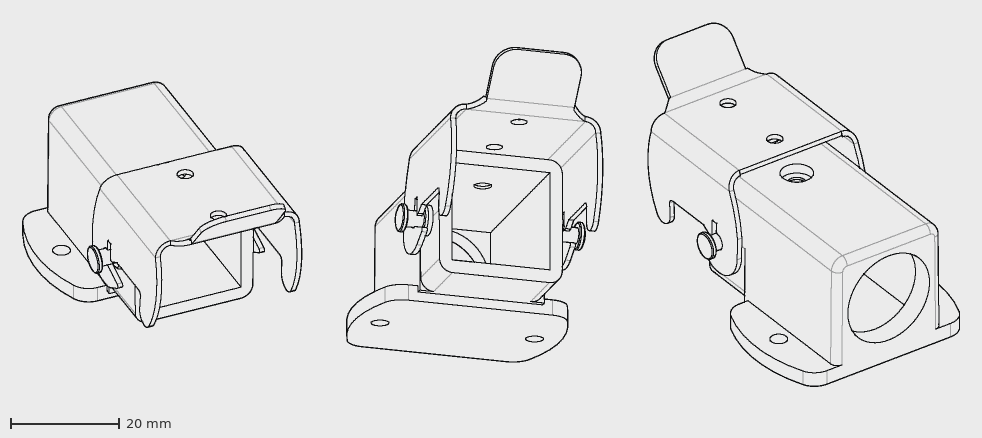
import cadquery as cq
import math


base_length = 28.0
base_width = 40.0
base_thickness = 3.0
base_end_radius = 30.0
base_corner_radius = 4.0
mount_hole_offset = 15.0
screw_hole_diameter = 3.3

block_length = 29.1
housing_length = 40.5
housing_bottom = 1.8
housing_top = 25.8
mid_height = (housing_bottom + housing_top) / 2
half_width = 12.0
housing_draft = math.tan(math.radians(0.5))
long_edge_radius = 2.5
front_edge_radius = 1.5

wall = 2.5
front_wall = 4.5
entry_diameter = 18.5
counterbore_x = 29.45
counterbore_diameter = 6.2
counterbore_depth = 2.0

pivot_x = 34.0
pin_root_y = half_width - wall / 2
collar_radius = 2.85
collar_end_y = 13.3
collar_edge = 0.4
shaft_radius = 1.55
head_radius = 2.6
head_start_y = 16.7
head_dome_y = 17.65
head_end_y = 18.2
head_edge = 0.2

sheet = 1.0
lever_top = 29.6
lever_bottom = 7.45
lever_front = 31.5
lever_back = 55.53
lever_half_width = 14.54
lever_outer_radius = 3.0
lever_draft = math.tan(math.radians(1.0))
flat_half_width = lever_half_width - lever_outer_radius
front_edge_middle = (29.0, 23.4)
front_edge_bend_x = 30.4
front_edge_bottom_z = 17.6
bend_bottom = lever_top - lever_outer_radius
lever_hole_diameter = 3.0
lever_hole_xs = (36.5, 51.5)

lobe_radius = 5.77
lobe_x = 33.35
lobe_left = lobe_x - lobe_radius
lobe_z = lever_bottom + lobe_radius
lobe_exit_angle = math.radians(28)
lip_tip = (39.9, 10.3)
lip_inner = (33.6, 12.5)
lip_tip_radius = 0.5
mouth_corner = (36.6, 14.1)
mouth_angle = math.radians(30)
notch_top = 15.2
notch_right = 49.25
notch_corner_radius = 0.9
hook_radius = 2.3
hook_x = 51.3
hook_z = 11.3
hook_exit_angle = math.radians(31)
hook_back_middle = (56.37, 19.6)
pin_hole_radius = 1.65
relief_slot_left = 34.35
relief_slot_width = 1.35
relief_slot_top = 17.6

tab_angle_degrees = 50
tab_angle = math.radians(tab_angle_degrees)
tab_bend_radius = 3.0
tab_tip_z = 38.51
tab_width = 17.0
tab_corner_radius = 4.0


def base_plate():
    """Mounting flange with bowed ends, rounded corners and two screw holes."""
    middle_x = base_length / 2
    half_base = base_width / 2
    sagitta = base_end_radius - math.sqrt(base_end_radius**2 - middle_x**2)
    side_y = half_base - sagitta
    plate = (
        cq.Workplane("XY")
        .moveTo(0, -side_y)
        .threePointArc((middle_x, -half_base), (base_length, -side_y))
        .lineTo(base_length, side_y)
        .threePointArc((middle_x, half_base), (0, side_y))
        .close()
        .extrude(base_thickness)
        .edges("|Z")
        .fillet(base_corner_radius)
    )
    holes = (
        cq.Workplane("XY")
        .pushPoints([(middle_x, mount_hole_offset), (middle_x, -mount_hole_offset)])
        .circle(screw_hole_diameter / 2)
        .extrude(base_thickness)
    )
    return plate.cut(holes)


def drafted_section(x_start, length, bottom_half_width):
    """Six-sided YZ section, drafted above and below mid height, extruded along X."""
    top_half_width = half_width - (housing_top - mid_height) * housing_draft
    right_side = [
        (bottom_half_width, housing_bottom),
        (half_width, mid_height),
        (top_half_width, housing_top),
    ]
    left_side = [(-y, z) for y, z in reversed(right_side)]
    return (
        cq.Workplane("YZ", origin=(x_start, 0, 0))
        .polyline(right_side + left_side)
        .close()
        .extrude(length)
    )


def housing_shell():
    """Block that widens downward plus an end section that narrows below mid height."""
    taper = (mid_height - housing_bottom) * housing_draft
    block = drafted_section(0, block_length, half_width + taper)
    end_length = housing_length - block_length
    end = drafted_section(block_length, end_length, half_width - taper)
    end = end.edges("|X and <Z").fillet(long_edge_radius)
    shell = block.union(end)
    shell = shell.edges("|X and >Z").fillet(long_edge_radius)
    return shell.faces("<X").edges("not <Z").fillet(front_edge_radius)


def housing_cavity():
    """Rectangular interior open at the far end, with the round cable entry."""
    cavity_half_width = half_width - wall
    cavity = (
        cq.Workplane("XY")
        .box(
            housing_length - front_wall,
            2 * cavity_half_width,
            housing_top - housing_bottom - 2 * wall,
            centered=(False, True, True),
        )
        .translate((front_wall, 0, mid_height))
    )
    entry = (
        cq.Workplane("YZ", origin=(0, 0, mid_height))
        .circle(entry_diameter / 2)
        .extrude(front_wall)
    )
    return cavity.union(entry)


def top_counterbore():
    """Counterbored screw hole through the housing roof."""
    recess = (
        cq.Workplane("XY", origin=(counterbore_x, 0, housing_top - counterbore_depth))
        .circle(counterbore_diameter / 2)
        .extrude(counterbore_depth)
    )
    hole = (
        cq.Workplane("XY", origin=(counterbore_x, 0, housing_top - wall))
        .circle(screw_hole_diameter / 2)
        .extrude(wall)
    )
    return recess.union(hole)


def pivot_pin():
    """Collar, shaft and domed head on the +Y side, revolved about the pivot axis."""
    dome_edge_radius = head_radius - head_edge
    dome_height = head_end_y - head_dome_y
    dome_sphere = (dome_edge_radius**2 + dome_height**2) / (2 * dome_height)
    dome_mid_radius = dome_edge_radius / 2
    dome_mid_y = head_end_y - dome_sphere + math.sqrt(dome_sphere**2 - dome_mid_radius**2)
    return (
        cq.Workplane("XY", origin=(pivot_x, 0, mid_height))
        .moveTo(0, pin_root_y)
        .lineTo(collar_radius, pin_root_y)
        .lineTo(collar_radius, collar_end_y - collar_edge)
        .lineTo(collar_radius - collar_edge, collar_end_y)
        .lineTo(shaft_radius, collar_end_y)
        .lineTo(shaft_radius, head_start_y)
        .lineTo(head_radius - head_edge, head_start_y)
        .lineTo(head_radius, head_start_y + head_edge)
        .lineTo(head_radius, head_dome_y - head_edge)
        .lineTo(dome_edge_radius, head_dome_y)
        .threePointArc((dome_mid_radius, dome_mid_y), (0, head_end_y))
        .close()
        .revolve(360, (0, 0, 0), (0, 1, 0))
    )


def make_housing():
    body = housing_shell().union(base_plate())
    body = body.cut(housing_cavity()).cut(top_counterbore())
    pin = pivot_pin()
    return body.union(pin).union(pin.mirror("XZ"))


def trapezoid_bar(top, top_half_width, corner_radius):
    """Bar along X with sides that spread downward and rounded upper corners."""
    bottom_half_width = top_half_width + top * lever_draft
    return (
        cq.Workplane("YZ")
        .moveTo(-bottom_half_width, 0)
        .lineTo(bottom_half_width, 0)
        .lineTo(top_half_width, top)
        .lineTo(-top_half_width, top)
        .close()
        .extrude(lever_back + lever_outer_radius)
        .edges("|X and >Z")
        .fillet(corner_radius)
    )


def lever_channel():
    """Bent sheet channel before its side outline is cut."""
    outside = trapezoid_bar(lever_top, lever_half_width, lever_outer_radius)
    inner_half_width = lever_half_width - sheet + sheet * lever_draft
    inside = trapezoid_bar(lever_top - sheet, inner_half_width, lever_outer_radius - sheet)
    return outside.cut(inside)


def across_y(sketch):
    """Extrude an XZ outline symmetrically across the whole width."""
    return sketch.extrude(base_width / 2, both=True)


def lobe_point(angle):
    """XZ point on the pivot lobe at an angle turned from straight down."""
    return (lobe_x + lobe_radius * math.sin(angle), lobe_z - lobe_radius * math.cos(angle))


def lever_outline():
    """Side outline: rounded pivot lobe with a snap-in mouth, notch and latch hook."""
    mid_arc = (lobe_exit_angle - math.pi / 2) / 2
    lobe_mid = lobe_point(mid_arc)
    lobe_exit = lobe_point(lobe_exit_angle)
    mouth_top_x = mouth_corner[0] + (notch_top - mouth_corner[1]) / math.tan(mouth_angle)
    notch_corner_start = (notch_right - notch_corner_radius, notch_top)
    notch_corner_end = (notch_right, notch_top - notch_corner_radius)
    hook_exit = (
        hook_x + hook_radius * math.cos(hook_exit_angle),
        hook_z - hook_radius * math.sin(hook_exit_angle),
    )
    outline = (
        cq.Workplane("XZ")
        .moveTo(lever_front, lever_top)
        .lineTo(front_edge_bend_x, bend_bottom)
        .threePointArc(front_edge_middle, (lobe_left, front_edge_bottom_z))
        .lineTo(lobe_left, lobe_z)
        .threePointArc(lobe_mid, lobe_exit)
        .lineTo(*lip_tip)
        .lineTo(*lip_inner)
        .lineTo(pivot_x, mid_height)
        .lineTo(*mouth_corner)
        .lineTo(mouth_top_x, notch_top)
        .lineTo(*notch_corner_start)
        .tangentArcPoint(notch_corner_end, relative=False)
        .lineTo(hook_x - hook_radius, hook_z)
        .threePointArc((hook_x, hook_z - hook_radius), hook_exit)
        .threePointArc(hook_back_middle, (lever_back, bend_bottom))
        .lineTo(lever_back, lever_top)
        .close()
    )
    tip_edge = cq.selectors.NearestToPointSelector((lip_tip[0], 0, lip_tip[1]))
    side = across_y(outline).edges("|Y").edges(tip_edge).fillet(lip_tip_radius)
    pin_hole = across_y(
        cq.Workplane("XZ").center(pivot_x, mid_height).circle(pin_hole_radius)
    )
    slot_height = relief_slot_top - mid_height
    relief_slot = across_y(
        cq.Workplane("XZ")
        .center(relief_slot_left + relief_slot_width / 2, mid_height + slot_height / 2)
        .rect(relief_slot_width, slot_height)
    )
    return side.cut(pin_hole).cut(relief_slot)


def bend_point(radius, angle):
    """XZ point on the tab bend at a radius and an angle turned from horizontal."""
    centre_z = lever_top + tab_bend_radius
    return (lever_back + radius * math.sin(angle), centre_z - radius * math.cos(angle))


def finger_tab():
    """Upward bend that narrows to a flat finger tab with rounded tip corners."""
    lower_radius = tab_bend_radius + sheet
    bend_end_top = bend_point(tab_bend_radius, tab_angle)
    bend_end_bottom = bend_point(lower_radius, tab_angle)
    bend = across_y(
        cq.Workplane("XZ")
        .moveTo(*bend_point(tab_bend_radius, 0))
        .threePointArc(bend_point(tab_bend_radius, tab_angle / 2), bend_end_top)
        .lineTo(*bend_end_bottom)
        .threePointArc(bend_point(lower_radius, tab_angle / 2), bend_point(lower_radius, 0))
        .close()
    )
    start_x, start_z = bend_end_top
    bend_end = bend_end_bottom[0]
    taper_end = (start_x + bend_end) / 2
    plan = (
        cq.Workplane("XY")
        .polyline([
            (lever_back, -flat_half_width),
            (taper_end, -tab_width / 2),
            (bend_end, -tab_width / 2),
            (bend_end, tab_width / 2),
            (taper_end, tab_width / 2),
            (lever_back, flat_half_width),
        ])
        .close()
        .extrude(tab_tip_z)
    )
    tab_length = (tab_tip_z - start_z) / math.sin(tab_angle)
    tab = (
        cq.Workplane("XY")
        .box(tab_length, tab_width, sheet, centered=(False, True, False))
        .edges("|Z and >X")
        .fillet(tab_corner_radius)
        .translate((0, 0, -sheet))
        .rotate((0, 0, 0), (0, 1, 0), -tab_angle_degrees)
        .translate((start_x, 0, start_z))
    )
    return bend.intersect(plan).union(tab)


def front_trim():
    """Block that squares the front edge of the flat sheet between the side bends."""
    return (
        cq.Workplane("XY")
        .box(lever_front, 2 * flat_half_width, sheet, centered=(False, True, False))
        .translate((0, 0, lever_top - sheet))
    )


def make_lever():
    holes = (
        cq.Workplane("XY", origin=(0, 0, lever_top - sheet))
        .pushPoints([(x, 0) for x in lever_hole_xs])
        .circle(lever_hole_diameter / 2)
        .extrude(sheet)
    )
    channel = lever_channel().intersect(lever_outline())
    return channel.cut(front_trim()).cut(holes).union(finger_tab())


housing = make_housing()
lever = make_lever()

result = cq.Compound.makeCompound([housing.solids().val(), lever.solids().val()])